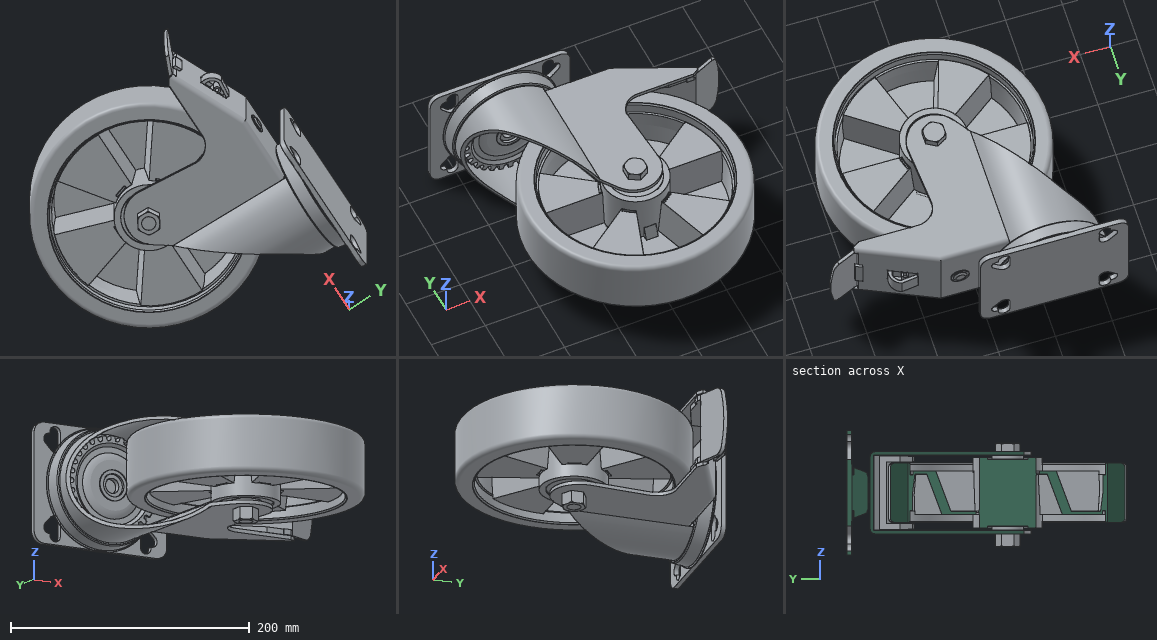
import cadquery as cq
import math


axle_x = 63.7
axle_y = -135.0
overall_reach = 183.9

plate_length = 129.9
plate_width = 104.5
plate_thickness = 4.5
plate_corner_radius = 10.0
slot_diameter = 10.0
slot_x = 44.3
slot_outer_z = 44.5
slot_inner_z = 32.0
slot_side_run = 6.0
flange_diameter = 106.0
flange_thickness = 0.5

head_top_radius = 52.0
head_bottom_radius = 50.3
head_neck_radius = 49.8
head_neck_height = 1.0
head_bottom_y = -18.2
head_edge_chamfer = 1.0

tube_outer_radius = 48.0
tube_inner_radius = 45.0
side_outer_z = 34.5
side_inner_z = 31.3
web_thickness = 3.2
web_top_y = -19.7
web_bend_radius = 4.2
eye_radius = 25.0
eye_rise = 5.0
tube_cut_top = (-tube_outer_radius, -28.0)
tube_cut_mid = (-29.4, -43.8)
tube_cut_end = (-16.0, -60.5)
web_bend = (93.8, web_top_y)
web_end = (160.5, -49.8)
web_end_face = (0.7, 4.5)
side_tip_setback = 6.5
side_bottom_y = -57.7
side_throat = (83.3, side_bottom_y)
throat_radius = 17.5

tooth_count = 30
tooth_tip_radius = 42.8
tooth_flank_radius = 39.5
tooth_root_radius = 38.3
tooth_tip_width = 3.7
tooth_flank_width = 4.5
tooth_disc_height = 6.7
race_groove = (28.4, 33.5)
race_groove_rim_radius = 36.3
race_groove_depth = 2.5
race_shoulder_radius = 16.5
kingpin_diameter = 26.5
kingpin_height = 1.0
kingpin_bores = ((20.0, 2.5), (13.0, 7.5))

tyre_radius = 100.0
tyre_half_width = 25.1
tyre_bore_radius = 85.0
tyre_edge_radius = 4.2

rim_bore_radius = 83.3
rim_chamfer = 1.2
web_half_width = 18.5
wall_thickness = 3.0
sector_count = 10
pocket_draft = 6.6
pocket_inner_radius = 25.5
pocket_outer_radius = 83.3
ledge_radius = 81.4
ledge_half_width = 15.2
pocket_widening = 3.0
rear_pocket_widening = -1.5
hub_radius = 29.0
hub_half_width = 29.5
hub_recess_diameter = 47.0
hub_recess_depth = 1.5
sleeve_diameter = 26.5
notch_width = 11.0
notch_radial = 2.0
notch_depth = 2.0
lug_radial = 4.5
lug_height = 11.2

axle_diameter = 12.0
head_flats = 18.0
head_height = 7.0
nut_flats = 18.5
nut_height = 10.7
hex_chamfer = 1.0

lever_thickness = 3.2
lever_half_width = 30.5
lever_start_x = 103.5
lever_front_y = -33.3
lever_bend_x = 157.2
pedal_angle = 23.0
pedal_corner_x = 176.0
pedal_tip_corner_x = 181.4
pedal_front_z = 23.1
pedal_corner_mid = (179.6, 27.9)
cheek_inner_z = 25.9
cheek_front_y = -44.8
cheek_flat_x = (131.9, 148.0)
cheek_flat_y = -55.5
cheek_foot_y = -57.0
cheek_foot_end_x = 154.5
hook_centre = (126.6, -31.0)
hook_outer_diameter = 16.0
hook_inner_diameter = 10.2
hook_tail_length = 14.7
hook_tail_heights = (3.7, 6.2)
hook_foot_x = (3.0, 6.5)
hook_width = 15.0
hook_slot_x = (111.5, 134.8)
pin_centre = (122.0, -30.4)
pin_diameter = 6.0
pin_bore = 3.0

button_x = 77.1
button_diameter = 16.0
button_dome_diameter = 12.0
button_rim_height = 1.0
button_height = 2.5
tab_x = (154.3, 160.2)
tab_root_depth = 0.5
tab_height = 2.0
tab_width = 25.0

tube_end_x = math.sqrt(tube_outer_radius ** 2 - side_outer_z ** 2)
eye_y = axle_y + eye_rise
web_slope = (web_end[1] - web_bend[1]) / (web_end[0] - web_bend[0])
slope_stretch = math.hypot(1, web_slope)
head_top_y = -plate_thickness - flange_thickness
disc_bottom_y = head_bottom_y - tooth_disc_height
half_sector = math.pi / sector_count


def below(y):
    """Plane at height y whose extrusions run down, along -Y; local axes are X and Z."""
    return cq.Workplane("XZ", origin=(0, y, 0))


def axle_plane(z):
    """Plane square to the axle, with its origin on the axle."""
    return cq.Workplane("XY", origin=(axle_x, axle_y, z))


def web_y(x, depth=0.0):
    """Height on the sloping web at x, a given thickness below its upper face."""
    return web_bend[1] + web_slope * (x - web_bend[0]) - depth * slope_stretch


def extrude_across(profile, half_width):
    """Extrude an XY profile evenly to both sides of the mid plane."""
    return profile.extrude(2 * half_width).translate((0, 0, -half_width))


def slot_leg(start, end):
    """Straight slot between two end centres, cut through the plate."""
    dx, dz = end[0] - start[0], end[1] - start[1]
    length = math.hypot(dx, dz) + slot_diameter
    angle = math.degrees(math.atan2(dz, dx))
    centre = ((start[0] + end[0]) / 2, (start[1] + end[1]) / 2)
    return below(0).center(*centre).slot2D(length, slot_diameter, angle).extrude(plate_thickness)


def make_mounting_plate():
    plate = below(0).rect(plate_length, plate_width).extrude(plate_thickness)
    plate = plate.edges("|Y").fillet(plate_corner_radius)
    for side_x in (-1, 1):
        for side_z in (-1, 1):
            inner = (side_x * slot_x, side_z * slot_inner_z)
            outer = (side_x * slot_x, side_z * slot_outer_z)
            sideways = (side_x * (slot_x + slot_side_run), side_z * (slot_inner_z + slot_side_run))
            plate = plate.cut(slot_leg(inner, outer)).cut(slot_leg(inner, sideways))
    flange = below(-plate_thickness).circle(flange_diameter / 2).extrude(flange_thickness)
    return plate.union(flange)


def swivel_head():
    """Tapered swivel head with a narrow neck under the plate."""
    neck_y = head_top_y - head_neck_height
    profile = [
        (0, head_top_y),
        (head_neck_radius, head_top_y),
        (head_neck_radius, neck_y),
        (head_top_radius, neck_y),
        (head_bottom_radius, head_bottom_y + head_edge_chamfer),
        (head_bottom_radius - head_edge_chamfer, head_bottom_y),
        (0, head_bottom_y),
    ]
    return cq.Workplane("XY").polyline(profile).close().revolve(360, (0, 0), (0, 1))


def toothed_disc():
    """Locking disc under the head, with a dished face and the bored end of the kingpin."""
    def on_circle(radius, angle):
        return radius * math.cos(angle), radius * math.sin(angle)

    pitch = 2 * math.pi / tooth_count
    tip_half = tooth_tip_width / 2 / tooth_tip_radius
    flank_half = tooth_flank_width / 2 / tooth_flank_radius
    first = math.pi / 2
    outline = below(head_bottom_y).moveTo(*on_circle(tooth_flank_radius, first - flank_half))
    for i in range(tooth_count):
        middle = first + i * pitch
        outline = (
            outline
            .lineTo(*on_circle(tooth_tip_radius, middle - tip_half))
            .lineTo(*on_circle(tooth_tip_radius, middle + tip_half))
            .lineTo(*on_circle(tooth_flank_radius, middle + flank_half))
            .threePointArc(
                on_circle(tooth_root_radius, middle + pitch / 2),
                on_circle(tooth_flank_radius, middle + pitch - flank_half),
            )
        )
    disc = outline.close().extrude(tooth_disc_height)

    floor_y = disc_bottom_y + race_groove_depth
    floor_inner, floor_outer = race_groove
    bulge_x = floor_inner - 0.3 * (floor_inner - race_shoulder_radius)
    bulge_y = floor_y - 0.7 * race_groove_depth
    groove = (
        cq.Workplane("XY")
        .moveTo(race_shoulder_radius, disc_bottom_y)
        .threePointArc((bulge_x, bulge_y), (floor_inner, floor_y))
        .lineTo(floor_outer, floor_y)
        .lineTo(race_groove_rim_radius, disc_bottom_y)
        .close()
        .revolve(360, (0, 0), (0, 1))
    )
    pin_bottom_y = disc_bottom_y - kingpin_height
    disc = disc.cut(groove)
    disc = disc.union(below(disc_bottom_y).circle(kingpin_diameter / 2).extrude(kingpin_height))
    for diameter, depth in kingpin_bores:
        disc = disc.cut(below(pin_bottom_y + depth).circle(diameter / 2).extrude(depth))
    return disc


def eye_tangent():
    """Point where the tube's sloping cut runs tangent into the rounded fork end."""
    dx, dy = tube_cut_end[0] - axle_x, tube_cut_end[1] - eye_y
    angle = math.atan2(dy, dx) + math.acos(eye_radius / math.hypot(dx, dy))
    return axle_x + eye_radius * math.cos(angle), eye_y + eye_radius * math.sin(angle)


def fork_tube():
    """Half-open tube under the head, cut away along a curve and a straight slope."""
    foot = eye_tangent()
    along = (tube_end_x - tube_cut_end[0]) / (foot[0] - tube_cut_end[0])
    foot_y = tube_cut_end[1] + along * (foot[1] - tube_cut_end[1])
    length = head_bottom_y - foot_y
    tube = below(head_bottom_y).circle(tube_outer_radius).circle(tube_inner_radius).extrude(length)
    kept = (
        cq.Workplane("XY")
        .moveTo(-tube_outer_radius, head_bottom_y)
        .lineTo(*tube_cut_top)
        .threePointArc(tube_cut_mid, tube_cut_end)
        .lineTo(tube_end_x, foot_y)
        .lineTo(tube_end_x, head_bottom_y)
        .close()
    )
    return tube.intersect(extrude_across(kept, tube_outer_radius))


def fork_sides():
    """Two flat sides joined by a web that is flat over the wheel and slopes to the pedal."""
    foot = eye_tangent()
    slope = (foot[1] - tube_cut_end[1]) / (foot[0] - tube_cut_end[0])
    outline = (
        cq.Workplane("XY")
        .moveTo(tube_end_x, web_top_y)
        .lineTo(*web_bend)
        .lineTo(*web_end)
        .lineTo(web_end[0] - web_end_face[0], web_end[1] - web_end_face[1])
        .lineTo(web_end[0] - side_tip_setback, side_bottom_y)
        .lineTo(*side_throat)
        .lineTo(axle_x + eye_radius, eye_y)
        .threePointArc((axle_x, eye_y - eye_radius), foot)
        .lineTo(tube_end_x, foot[1] + slope * (tube_end_x - foot[0]))
        .close()
    )
    sides = extrude_across(outline, side_outer_z)
    throat = cq.selectors.NearestToPointSelector((*side_throat, 0))
    sides = sides.edges("|Z").edges(throat).fillet(throat_radius)
    flat_x = (tube_end_x + web_bend[0]) / 2
    slope_x = (web_bend[0] + web_end[0]) / 2
    bends = cq.selectors.NearestToPointSelector((flat_x, web_top_y, side_outer_z))
    for x, y, z in (
        (flat_x, web_top_y, -side_outer_z),
        (slope_x, web_y(slope_x), side_outer_z),
        (slope_x, web_y(slope_x), -side_outer_z),
    ):
        bends = bends + cq.selectors.NearestToPointSelector((x, y, z))
    sides = sides.edges(bends).fillet(web_bend_radius)

    inner_bend_x = web_bend[0] - web_thickness * (slope_stretch - 1) / -web_slope
    cavity = [
        (0, web_top_y - web_thickness),
        (inner_bend_x, web_top_y - web_thickness),
        (lever_bend_x, web_y(lever_bend_x, web_thickness)),
        (lever_bend_x, 0),
        (overall_reach, 0),
        (overall_reach, axle_y - tyre_radius),
        (0, axle_y - tyre_radius),
    ]
    return sides.cut(extrude_across(cq.Workplane("XY").polyline(cavity).close(), side_inner_z))


def adjuster_button():
    """Low button on the flat of the web: a rim with a smaller dome on it."""
    rim_radius, dome_radius = button_diameter / 2, button_dome_diameter / 2
    profile = (
        cq.Workplane("XY")
        .moveTo(0, -web_thickness)
        .lineTo(rim_radius, -web_thickness)
        .lineTo(rim_radius, button_rim_height)
        .lineTo(dome_radius, button_rim_height)
        .lineTo(dome_radius * 0.7, button_height)
        .lineTo(0, button_height)
        .close()
    )
    return profile.revolve(360, (0, 0), (0, 1)).translate((button_x, web_top_y, 0))


def web_tab():
    """Small raised tab at the low end of the sloping web."""
    start, end = tab_x
    profile = [
        (start, web_y(start, tab_root_depth)),
        (end, web_y(end, tab_root_depth)),
        (end, web_y(end, -tab_height)),
        (start, web_y(start, -tab_height)),
    ]
    return extrude_across(cq.Workplane("XY").polyline(profile).close(), tab_width / 2)


def make_fork():
    fork = swivel_head().union(fork_tube()).union(fork_sides()).union(toothed_disc())
    fork = fork.union(adjuster_button()).union(web_tab())
    start, end = hook_slot_x
    slot = [
        (start, web_y(start, web_thickness)),
        (end, web_y(end, web_thickness)),
        (end, web_y(end, -web_thickness)),
        (start, web_y(start, -web_thickness)),
    ]
    fork = fork.cut(extrude_across(cq.Workplane("XY").polyline(slot).close(), hook_width / 2))
    axle_hole = axle_plane(0).circle(axle_diameter / 2)
    return fork.cut(extrude_across(axle_hole, side_outer_z))


def make_tyre():
    tyre = extrude_across(axle_plane(0).circle(tyre_radius), tyre_half_width)
    tyre = tyre.edges().fillet(tyre_edge_radius)
    return tyre.cut(extrude_across(axle_plane(0).circle(tyre_bore_radius), tyre_half_width))


def pocket(angle, side, widening):
    """Drafted sector pocket, sunk from one face of the web to just short of the other."""
    def corner(radius, way):
        turn = angle + way * (half_sector + math.asin(widening / radius))
        return radius * math.cos(turn), radius * math.sin(turn)

    def middle(radius):
        return radius * math.cos(angle), radius * math.sin(angle)

    sketch = (
        axle_plane(side * web_half_width)
        .moveTo(*corner(pocket_inner_radius, -1))
        .lineTo(*corner(pocket_outer_radius, -1))
        .threePointArc(middle(pocket_outer_radius), corner(pocket_outer_radius, 1))
        .lineTo(*corner(pocket_inner_radius, 1))
        .threePointArc(middle(pocket_inner_radius), corner(pocket_inner_radius, -1))
        .close()
    )
    depth = 2 * web_half_width - wall_thickness
    drafted = sketch.extrude(-side * depth, taper=pocket_draft)
    return drafted.intersect(extrude_across(axle_plane(0).circle(ledge_radius), web_half_width))


def notch(angle, side):
    """Shallow notch in a raised sector beside the hub."""
    block = cq.Workplane("XY").box(notch_radial, notch_width, 2 * notch_depth)
    block = block.translate((hub_radius + notch_radial / 2, 0, side * web_half_width))
    return block.rotate((0, 0, 0), (0, 0, 1), math.degrees(angle)).translate((axle_x, axle_y, 0))


def lug():
    """Wedge-shaped foot on the floor of the pocket straight below the axle."""
    floor_z = wall_thickness - web_half_width
    profile = [
        (hub_radius - lug_radial, floor_z),
        (hub_radius + lug_radial, floor_z),
        (hub_radius, floor_z + lug_height),
        (hub_radius - lug_radial, floor_z + lug_height),
    ]
    wedge = cq.Workplane("XZ", origin=(0, notch_width / 2, 0)).polyline(profile).close().extrude(notch_width)
    return wedge.rotate((0, 0, 0), (0, 0, 1), -90).translate((axle_x, axle_y, 0))


def make_wheel_centre():
    rim = extrude_across(axle_plane(0).circle(tyre_bore_radius).circle(rim_bore_radius), tyre_half_width)
    rim = rim.edges("%CIRCLE").edges(cq.selectors.RadiusNthSelector(0)).chamfer(rim_chamfer)
    wheel = rim.union(extrude_across(axle_plane(0).circle(rim_bore_radius), ledge_half_width))
    wheel = wheel.union(extrude_across(axle_plane(0).circle(ledge_radius), web_half_width))

    for i in range(sector_count):
        angle = (2 * i + 1) * half_sector
        if i % 2 == 0:
            open_side, widening = -1, rear_pocket_widening
        else:
            open_side, widening = 1, pocket_widening
        wheel = wheel.cut(pocket(angle, open_side, widening)).cut(notch(angle, -open_side))

    wheel = wheel.union(lug())
    wheel = wheel.union(extrude_across(axle_plane(0).circle(hub_radius), hub_half_width))
    recess_floor = hub_half_width - hub_recess_depth
    for side in (-1, 1):
        recess = axle_plane(side * recess_floor).circle(hub_recess_diameter / 2)
        wheel = wheel.cut(recess.extrude(side * hub_recess_depth))
    wheel = wheel.union(extrude_across(axle_plane(0).circle(sleeve_diameter / 2), side_inner_z))
    return wheel.cut(extrude_across(axle_plane(0).circle(axle_diameter / 2), side_inner_z))


def hexagon(flats, height, side):
    """Hexagon against a fork side, corners up and down, with its outer corners chamfered."""
    across_corners = flats / math.cos(math.pi / 6)
    base = axle_plane(side * side_outer_z).transformed(rotate=(0, 0, 30))
    prism = base.polygon(6, across_corners).extrude(side * height)
    round_stock = axle_plane(side * side_outer_z).circle(across_corners / 2).extrude(side * height)
    round_stock = round_stock.faces(">Z" if side > 0 else "<Z").edges().chamfer(hex_chamfer)
    return prism.intersect(round_stock)


def make_bolt():
    shank_length = 2 * side_outer_z + nut_height
    shank = axle_plane(side_outer_z).circle(axle_diameter / 2).extrude(-shank_length)
    return hexagon(head_flats, head_height, 1).union(shank)


def make_nut():
    bore = axle_plane(-side_outer_z).circle(axle_diameter / 2).extrude(-nut_height)
    return hexagon(nut_flats, nut_height, -1).cut(bore)


def lever_plate():
    """Sheet lying under the sloping web and bent up into the pedal."""
    rise = math.tan(math.radians(pedal_angle))
    pedal_drop = lever_thickness / math.cos(math.radians(pedal_angle))
    bend_y = web_y(lever_bend_x, web_thickness)
    tip_y = bend_y + rise * (overall_reach - lever_bend_x)
    profile = [
        (lever_start_x, web_y(lever_start_x, web_thickness)),
        (lever_bend_x, bend_y),
        (overall_reach, tip_y),
        (overall_reach, tip_y - pedal_drop),
        (lever_bend_x, bend_y - pedal_drop),
        (lever_start_x, lever_front_y),
    ]
    sheet = extrude_across(cq.Workplane("XY").polyline(profile).close(), lever_half_width)
    plan = (
        below(0)
        .moveTo(lever_start_x, -lever_half_width)
        .lineTo(pedal_corner_x, -lever_half_width)
        .threePointArc((pedal_corner_mid[0], -pedal_corner_mid[1]), (pedal_tip_corner_x, -pedal_front_z))
        .threePointArc((overall_reach, 0), (pedal_tip_corner_x, pedal_front_z))
        .threePointArc(pedal_corner_mid, (pedal_corner_x, lever_half_width))
        .lineTo(lever_start_x, lever_half_width)
        .close()
        .extrude(tyre_radius)
    )
    return sheet.intersect(plan)


def lever_cheeks():
    """Side cheeks of the lever, hanging down beside the tyre."""
    profile = [
        (lever_start_x, web_y(lever_start_x, web_thickness)),
        (lever_start_x, cheek_front_y),
        (cheek_flat_x[0], cheek_flat_y),
        (cheek_flat_x[1], cheek_flat_y),
        (cheek_flat_x[1], cheek_foot_y),
        (cheek_foot_end_x, cheek_foot_y),
        (lever_bend_x, web_y(lever_bend_x, web_thickness + lever_thickness)),
        (lever_bend_x, web_y(lever_bend_x, web_thickness)),
    ]
    cheek = cq.Workplane("XY", origin=(0, 0, cheek_inner_z)).polyline(profile).close()
    cheek = cheek.extrude(lever_half_width - cheek_inner_z)
    return cheek.union(cheek.mirror("XY"))


def release_hook():
    """Curled strip standing up from the lever through the slot in the web."""
    x, y = hook_centre
    outer, inner = hook_outer_diameter / 2, hook_inner_diameter / 2
    tail_x = x - hook_tail_length
    inner_foot = x + hook_foot_x[0]
    outer_foot = x + hook_foot_x[1]
    return (
        cq.Workplane("XY")
        .moveTo(tail_x, y + hook_tail_heights[0])
        .lineTo(x, y + inner)
        .threePointArc((x + inner, y), (inner_foot, web_y(inner_foot, web_thickness)))
        .lineTo(outer_foot, web_y(outer_foot, web_thickness))
        .threePointArc((x + outer, y), (x, y + outer))
        .lineTo(tail_x, y + hook_tail_heights[1])
        .close()
    )


def hook_pin():
    """Bored pin inside the hook, on a stem that rises from the lever."""
    x, y = pin_centre
    radius = pin_diameter / 2
    stem_foot_y = web_y(x, web_thickness + lever_thickness / 2)
    stem_height = y - stem_foot_y
    stem = cq.Workplane("XY").center(x, (y + stem_foot_y) / 2).rect(radius, stem_height)
    pin = cq.Workplane("XY").center(x, y).circle(radius)
    bore = cq.Workplane("XY").center(x, y).circle(pin_bore / 2)
    half_width = hook_width / 2
    solid = extrude_across(stem, half_width).union(extrude_across(pin, half_width))
    return solid.cut(extrude_across(bore, half_width))


def make_brake_lever():
    lever = lever_plate().union(lever_cheeks())
    return lever.union(extrude_across(release_hook(), hook_width / 2)).union(hook_pin())


mounting_plate = make_mounting_plate()
fork = make_fork()
tyre = make_tyre()
wheel_centre = make_wheel_centre()
bolt = make_bolt()
nut = make_nut()
brake_lever = make_brake_lever()

result = cq.Compound.makeCompound(
    [
        mounting_plate.solids().val(),
        fork.solids().val(),
        tyre.solids().val(),
        wheel_centre.solids().val(),
        bolt.solids().val(),
        nut.solids().val(),
        brake_lever.solids().val(),
    ]
)